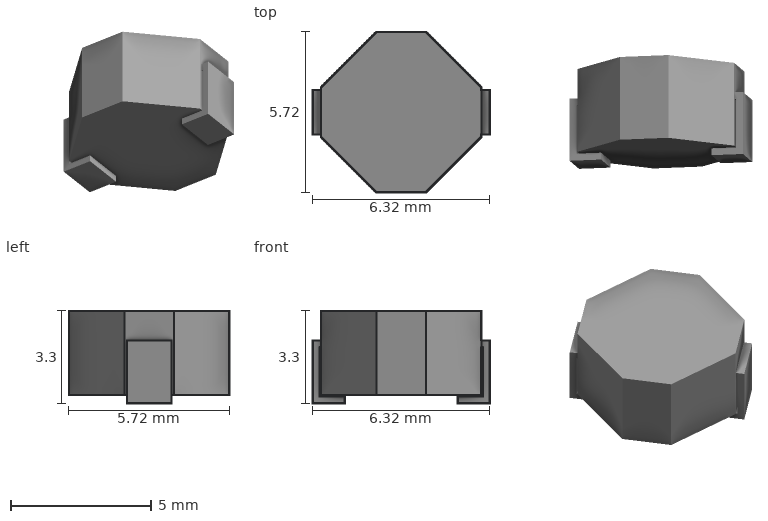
import cadquery as cq

body_width = 5.72
body_height = 3.0
corner_cut = 1.975

sheet = 0.25
clearance = 0.05
terminal_width = 1.6
terminal_height = 2.25
foot_length = 1.15

body_bottom = sheet + clearance
body_side = body_width / 2
terminal_outer = body_side + clearance + sheet


def make_body():
    """Square block with its four vertical corners cut to form an octagon."""
    return (
        cq.Workplane("XY", origin=(0, 0, body_bottom))
        .rect(body_width, body_width)
        .extrude(body_height)
        .edges("|Z")
        .chamfer(corner_cut)
    )


def make_terminal(side):
    """C-shaped clip; side is -1 for the -X end and +1 for the +X end."""
    outer = side * terminal_outer
    inner = side * (terminal_outer - sheet)
    foot_end = side * (terminal_outer - foot_length)
    lip_end = side * body_side
    lip_bottom = terminal_height - sheet
    profile = [
        (foot_end, 0),
        (outer, 0),
        (outer, terminal_height),
        (lip_end, terminal_height),
        (lip_end, lip_bottom),
        (inner, lip_bottom),
        (inner, sheet),
        (foot_end, sheet),
    ]
    return (
        cq.Workplane("XZ")
        .polyline(profile)
        .close()
        .extrude(terminal_width / 2, both=True)
    )


body = make_body()
terminals = [make_terminal(side) for side in (-1, 1)]

result = cq.Compound.makeCompound(
    [body.val(), *[terminal.val() for terminal in terminals]]
)